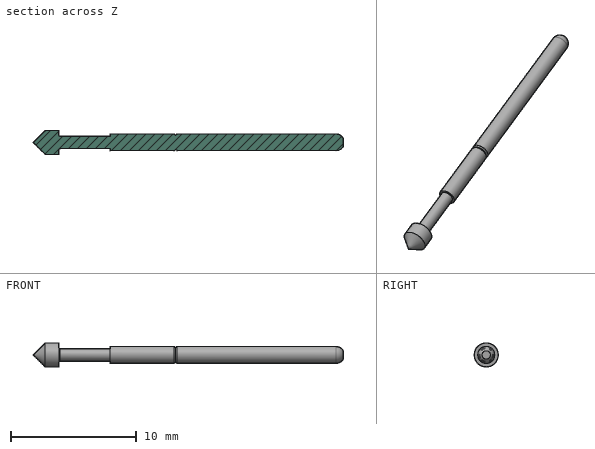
import cadquery as cq
import math

total_length = 24.65
head_end = 2.05
barrel_start = 6.1
groove_center = 11.3

head_diameter = 1.92
plunger_diameter = 1.0
barrel_diameter = 1.35
groove_diameter = 1.15

tip_angle = 90.0
neck_chamfer = 0.07
groove_width = 0.25
tail_length = 0.6

head_radius = head_diameter / 2
plunger_radius = plunger_diameter / 2
barrel_radius = barrel_diameter / 2
cone_length = head_radius / math.tan(math.radians(tip_angle / 2))

tail_start = total_length - tail_length
tail_flat_radius = math.sqrt(barrel_radius**2 - tail_length**2)
tail_mid_angle = math.asin(tail_length / barrel_radius) / 2
tail_mid_point = (
    tail_start + barrel_radius * math.sin(tail_mid_angle),
    barrel_radius * math.cos(tail_mid_angle),
)


def make_pin():
    """Revolve the half profile of head, plunger and barrel about the X axis."""
    profile = (
        cq.Workplane("XY")
        .moveTo(0, 0)
        .lineTo(cone_length, head_radius)
        .lineTo(head_end, head_radius)
        .lineTo(head_end, plunger_radius + neck_chamfer)
        .lineTo(head_end + neck_chamfer, plunger_radius)
        .lineTo(barrel_start, plunger_radius)
        .lineTo(barrel_start, barrel_radius)
        .lineTo(tail_start, barrel_radius)
        .threePointArc(tail_mid_point, (total_length, tail_flat_radius))
        .lineTo(total_length, 0)
        .close()
    )
    return profile.revolve(360, (0, 0, 0), (1, 0, 0))


def make_groove_cutter():
    """Ring with a V section that notches the barrel."""
    section = (
        cq.Workplane("XY")
        .moveTo(groove_center - groove_width / 2, barrel_radius)
        .lineTo(groove_center, groove_diameter / 2)
        .lineTo(groove_center + groove_width / 2, barrel_radius)
        .close()
    )
    return section.revolve(360, (0, 0, 0), (1, 0, 0))


result = make_pin().cut(make_groove_cutter())